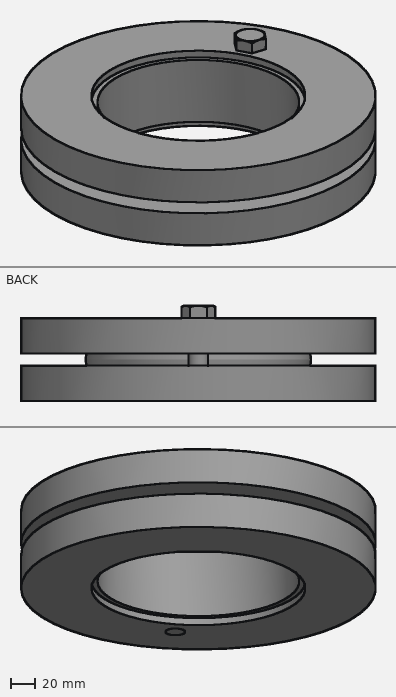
import cadquery as cq
import math

FLANGE_DIAMETER = 290.0
FLANGE_THICKNESS = 29.0
FLANGE_BORE = 175.0
FLANGE_GAP = 10.0

RING_BORE = 165.0
RING_SETBACK = 6.0
COLLAR_DIAMETER = 184.7
COLLAR_TAPER_ANGLE = 8.0

BOLT_DIAMETER = 16.0
BOLT_OFFSET = 105.0
HEAD_HEIGHT = 10.2
HEAD_ACROSS_FLATS = 24.0
HEAD_CHAMFER_ANGLE = 30.0
HEAD_TOP_DIAMETER = 23.8

GAP_BOTTOM = FLANGE_THICKNESS
GAP_TOP = GAP_BOTTOM + FLANGE_GAP
STACK_TOP = GAP_TOP + FLANGE_THICKNESS


def make_flange(bottom):
    """Flat annular flange with a hole for the bolt shank."""
    disc = (
        cq.Workplane("XY", origin=(0, 0, bottom))
        .circle(FLANGE_DIAMETER / 2)
        .circle(FLANGE_BORE / 2)
        .extrude(FLANGE_THICKNESS)
    )
    bolt_hole = (
        cq.Workplane("XY", origin=(0, BOLT_OFFSET, bottom))
        .circle(BOLT_DIAMETER / 2)
        .extrude(FLANGE_THICKNESS)
    )
    return disc.cut(bolt_hole)


def make_ring():
    """Sleeve fitting both flange bores, with a crested collar in the gap."""
    inner = RING_BORE / 2
    sleeve = FLANGE_BORE / 2
    collar = COLLAR_DIAMETER / 2
    taper_height = FLANGE_GAP / 2
    collar_edge = collar - taper_height * math.tan(math.radians(COLLAR_TAPER_ANGLE))
    ring_bottom = RING_SETBACK
    ring_top = STACK_TOP - RING_SETBACK
    profile = [
        (inner, ring_bottom),
        (sleeve, ring_bottom),
        (sleeve, GAP_BOTTOM),
        (collar_edge, GAP_BOTTOM),
        (collar, GAP_BOTTOM + taper_height),
        (collar_edge, GAP_TOP),
        (sleeve, GAP_TOP),
        (sleeve, ring_top),
        (inner, ring_top),
    ]
    return cq.Workplane("XZ").polyline(profile).close().revolve(360, (0, 0, 0), (0, 1, 0))


def make_bolt():
    """Hex bolt through both flanges, its shank flush with the lower face."""
    across_corners = HEAD_ACROSS_FLATS / math.cos(math.radians(30))
    corner_radius = across_corners / 2
    top_radius = HEAD_TOP_DIAMETER / 2
    chamfer_drop = (corner_radius - top_radius) * math.tan(math.radians(HEAD_CHAMFER_ANGLE))
    hexagon = cq.Workplane("XY").polygon(6, across_corners).extrude(HEAD_HEIGHT)
    envelope_profile = [
        (0, 0),
        (corner_radius, 0),
        (corner_radius, HEAD_HEIGHT - chamfer_drop),
        (top_radius, HEAD_HEIGHT),
        (0, HEAD_HEIGHT),
    ]
    envelope = cq.Workplane("XZ").polyline(envelope_profile).close().revolve(360, (0, 0, 0), (0, 1, 0))
    head = hexagon.intersect(envelope)
    shank = cq.Workplane("XY").circle(BOLT_DIAMETER / 2).extrude(-STACK_TOP)
    return head.union(shank).translate((0, BOLT_OFFSET, STACK_TOP))


flanges = [make_flange(bottom) for bottom in (0, GAP_TOP)]
ring = make_ring()
bolt = make_bolt()

result = cq.Compound.makeCompound([*[flange.val() for flange in flanges], ring.val(), bolt.val()])